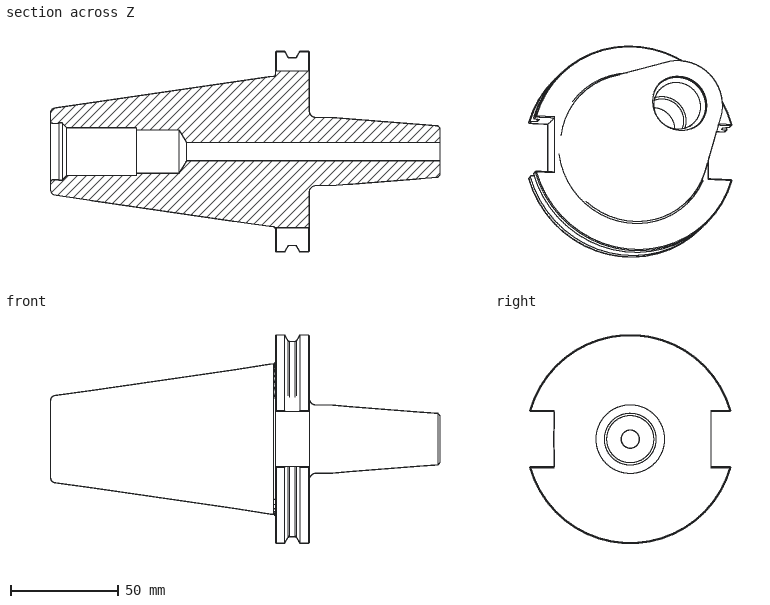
import cadquery as cq
import math

TAPER_LENGTH = 101.62
PROJECTION = 80.0
FLANGE_START = 3.2
FLANGE_END = 19.1

GAUGE_DIAMETER = 69.85
TAPER_SLOPE = 7 / 24 / 2
COLLAR_DIAMETER = 70.2
COLLAR_ROOT_FILLET = 0.8
SHANK_END_FILLET = 2.5

FLANGE_DIAMETER = 97.5
FLANGE_CHAMFER = 0.5
GROOVE_FLOOR_DIAMETER = 91.25
GROOVE_CENTRE = 11.1
GROOVE_FLOOR_WIDTH = 3.6
GROOVE_FLOOR_FILLET = 0.7
GROOVE_FLANK_ANGLE = 30.0

SLOT_WIDTH = 25.7
SLOT_FLOOR_POS_Y = 37.7
SLOT_FLOOR_NEG_Y = 35.5

NOSE_BASE_DIAMETER = 32.0
NOSE_TIP_DIAMETER = 24.0
NOSE_CONE_ANGLE = 4.5
NOSE_ROOT_FILLET = 3.0
NOSE_TIP_CHAMFER = 1.0

MOUTH_FILLET = 1.2
COUNTERBORE_DIAMETER = 26.2
RELIEF_DIAMETER = 26.7
RELIEF_START = 3.9
RELIEF_END = 5.6
COUNTERSINK_ANGLE = 45.0
THREAD_DIAMETER = 22.23
THREAD_DEPTH = 40.0
DRILL_DIAMETER = 20.0
DRILL_DEPTH = 60.0
DRILL_POINT_ANGLE = 59.0
COOLANT_DIAMETER = 8.38

SHANK_END = -TAPER_LENGTH


def revolve_about_x(profile):
    """Close a half profile and sweep it a full turn about the part axis."""
    return profile.close().revolve(360, (0, 0, 0), (1, 0, 0))


def make_shank():
    small_radius = GAUGE_DIAMETER / 2 - TAPER_LENGTH * TAPER_SLOPE
    collar_radius = COLLAR_DIAMETER / 2
    collar_start = (collar_radius - GAUGE_DIAMETER / 2) / TAPER_SLOPE
    profile = (
        cq.Workplane("XY")
        .moveTo(SHANK_END, 0)
        .lineTo(SHANK_END, small_radius)
        .lineTo(collar_start, collar_radius)
        .lineTo(FLANGE_START - COLLAR_ROOT_FILLET, collar_radius)
        .radiusArc((FLANGE_START, collar_radius + COLLAR_ROOT_FILLET), -COLLAR_ROOT_FILLET)
        .lineTo(FLANGE_START, 0)
    )
    return revolve_about_x(profile).faces("<X").edges().fillet(SHANK_END_FILLET)


def make_flange_blank():
    outer_radius = FLANGE_DIAMETER / 2
    floor_radius = GROOVE_FLOOR_DIAMETER / 2
    half_floor = GROOVE_FLOOR_WIDTH / 2
    flank_run = (outer_radius - floor_radius) * math.tan(math.radians(GROOVE_FLANK_ANGLE))
    half_mouth = half_floor + flank_run
    disc = (
        cq.Workplane("YZ", origin=(FLANGE_START, 0, 0))
        .circle(outer_radius)
        .extrude(FLANGE_END - FLANGE_START)
    )
    groove_profile = (
        cq.Workplane("XY")
        .moveTo(GROOVE_CENTRE - half_mouth, outer_radius)
        .lineTo(GROOVE_CENTRE - half_floor, floor_radius)
        .lineTo(GROOVE_CENTRE + half_floor, floor_radius)
        .lineTo(GROOVE_CENTRE + half_mouth, outer_radius)
    )
    smallest_circles = cq.selectors.RadiusNthSelector(0)
    blank = disc.cut(revolve_about_x(groove_profile))
    return blank.edges("%CIRCLE").edges(smallest_circles).fillet(GROOVE_FLOOR_FILLET)


def make_drive_slot(floor_distance, side):
    depth = FLANGE_DIAMETER / 2
    width = FLANGE_END - FLANGE_START
    return cq.Workplane("XY").box(width, depth, SLOT_WIDTH).translate(
        ((FLANGE_START + FLANGE_END) / 2, side * (floor_distance + depth / 2), 0)
    )


def is_flange_chamfer_edge(edge):
    """True for the outer rim edges on both end faces and the slot wall edges that meet a rim."""
    tolerance = 1e-3
    outer_radius = FLANGE_DIAMETER / 2
    middle = edge.positionAt(0.5)
    on_end_face = min(middle.x - FLANGE_START, FLANGE_END - middle.x) < tolerance
    on_rim = abs(math.hypot(middle.y, middle.z) - outer_radius) < tolerance
    on_slot_wall = abs(abs(middle.z) - SLOT_WIDTH / 2) < tolerance
    return (on_end_face and (on_rim or on_slot_wall)) or (on_rim and on_slot_wall)


def make_flange():
    flange = (
        make_flange_blank()
        .cut(make_drive_slot(SLOT_FLOOR_POS_Y, 1))
        .cut(make_drive_slot(SLOT_FLOOR_NEG_Y, -1))
    )
    chamfer_edges = [edge for edge in flange.edges().vals() if is_flange_chamfer_edge(edge)]
    return flange.newObject(chamfer_edges).chamfer(FLANGE_CHAMFER)


def make_nose():
    base_radius = NOSE_BASE_DIAMETER / 2
    tip_radius = NOSE_TIP_DIAMETER / 2
    cone_length = (base_radius - tip_radius) / math.tan(math.radians(NOSE_CONE_ANGLE))
    root_radius = base_radius + NOSE_ROOT_FILLET
    root_end = FLANGE_END + NOSE_ROOT_FILLET
    profile = (
        cq.Workplane("XY")
        .moveTo(FLANGE_END, 0)
        .lineTo(FLANGE_END, root_radius)
        .radiusArc((root_end, base_radius), -NOSE_ROOT_FILLET)
        .lineTo(PROJECTION - cone_length, base_radius)
        .lineTo(PROJECTION, tip_radius)
        .lineTo(PROJECTION, 0)
    )
    return revolve_about_x(profile).faces(">X").edges().chamfer(NOSE_TIP_CHAMFER)


def make_bore():
    counterbore_radius = COUNTERBORE_DIAMETER / 2
    mouth_radius = counterbore_radius + MOUTH_FILLET
    relief_radius = RELIEF_DIAMETER / 2
    thread_radius = THREAD_DIAMETER / 2
    drill_radius = DRILL_DIAMETER / 2
    coolant_radius = COOLANT_DIAMETER / 2
    countersink_length = (counterbore_radius - thread_radius) / math.tan(math.radians(COUNTERSINK_ANGLE))
    point_length = (drill_radius - coolant_radius) / math.tan(math.radians(DRILL_POINT_ANGLE))
    part_length = TAPER_LENGTH + PROJECTION
    profile = (
        cq.Workplane("XY", origin=(SHANK_END, 0, 0))
        .lineTo(0, mouth_radius)
        .radiusArc((MOUTH_FILLET, counterbore_radius), -MOUTH_FILLET)
        .lineTo(RELIEF_START, counterbore_radius)
        .lineTo(RELIEF_START, relief_radius)
        .lineTo(RELIEF_END, relief_radius)
        .lineTo(RELIEF_END, counterbore_radius)
        .lineTo(RELIEF_END + countersink_length, thread_radius)
        .lineTo(THREAD_DEPTH, thread_radius)
        .lineTo(THREAD_DEPTH, drill_radius)
        .lineTo(DRILL_DEPTH, drill_radius)
        .lineTo(DRILL_DEPTH + point_length, coolant_radius)
        .lineTo(part_length, coolant_radius)
        .lineTo(part_length, 0)
    )
    return revolve_about_x(profile)


result = make_shank().union(make_flange()).union(make_nose()).cut(make_bore())